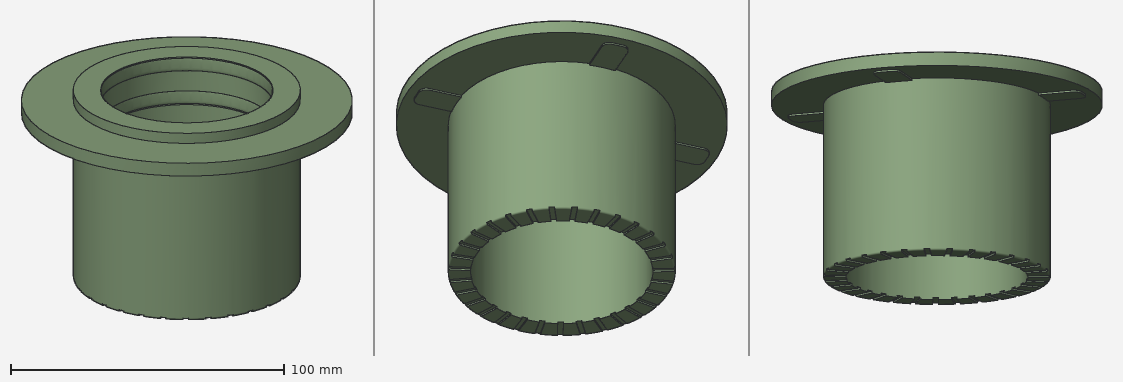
import cadquery as cq
total_height = 74.0
head_height = 4.0
flange_thickness = 5.1
flange_top = total_height - head_height
flange_bottom = flange_top - flange_thickness

flange_diameter = 121.0
tube_diameter = 83.0
tube_bore = 66.6

rib_count = 4
rib_width = 10.2
rib_thickness = 0.7
rib_reach = 56.8
rib_corner_radius = 3.0

notch_count = 31
notch_width = 2.0
notch_depth = 0.7
first_notch_angle = -90.0

rim_radius = 0.7

insert_length = 18.9
insert_bottom = total_height - insert_length
insert_bore = 63.0
spigot_diameter = 68.5
seat_diameter = 69.0

groove_diameter = 66.6
groove_width = 5.0
groove_margin = 0.5
seal_inner_diameter = 62.2
groove_centers = [
    total_height - groove_margin - groove_width / 2,
    insert_bottom + groove_margin + groove_width / 2,
]


def disc(diameter, bottom, top):
    """Solid cylinder on the Z axis between two heights."""
    return cq.Workplane("XY").workplane(offset=bottom).circle(diameter / 2).extrude(top - bottom)


def make_rib(angle):
    """Flat bar from the axis outward, with its two outer corners rounded."""
    return (
        cq.Workplane("XY")
        .workplane(offset=flange_bottom - rib_thickness)
        .rect(2 * rib_reach, rib_width)
        .extrude(rib_thickness)
        .edges("|Z")
        .fillet(rib_corner_radius)
        .intersect(cq.Workplane("XY").box(rib_reach, rib_width, total_height, centered=(False, True, False)))
        .rotate((0, 0, 0), (0, 0, 1), angle)
    )


def make_notch(angle):
    """Cutter for one notch through the tube wall."""
    return (
        cq.Workplane("XY")
        .box(tube_diameter, notch_width, notch_depth, centered=(False, True, False))
        .rotate((0, 0, 0), (0, 0, 1), angle)
    )


def make_housing():
    """Tube with flange, ribs, insert seat and a rounded, notched bottom rim."""
    body = disc(tube_diameter, 0, flange_top)
    body = body.union(disc(flange_diameter, flange_bottom, flange_top))
    for i in range(rib_count):
        body = body.union(make_rib(i * 360 / rib_count))
    body = body.faces("<Z").fillet(rim_radius)
    body = body.cut(disc(tube_bore, 0, flange_top))
    body = body.cut(disc(seat_diameter, insert_bottom, flange_top))
    for i in range(notch_count):
        body = body.cut(make_notch(first_notch_angle + i * 360 / notch_count))
    return body


def make_insert():
    """Head and spigot, bored through and grooved for the seal rings."""
    body = disc(spigot_diameter, insert_bottom, flange_top)
    body = body.union(disc(tube_diameter, flange_top, total_height))
    body = body.cut(disc(insert_bore, insert_bottom, total_height))
    for center in groove_centers:
        body = body.cut(disc(groove_diameter, center - groove_width / 2, center + groove_width / 2))
    return body


def make_seal(center):
    """Ring that fills its groove and bulges into the bore with an elliptical inner face."""
    half_width = groove_width / 2
    bulge = (insert_bore - seal_inner_diameter) / 2
    return (
        cq.Workplane("XZ")
        .moveTo(insert_bore / 2, center - half_width)
        .lineTo(groove_diameter / 2, center - half_width)
        .lineTo(groove_diameter / 2, center + half_width)
        .lineTo(insert_bore / 2, center + half_width)
        .ellipseArc(bulge, half_width, 90, 270, sense=1)
        .close()
        .revolve(360, (0, 0, 0), (0, 1, 0))
    )


housing = make_housing()
insert = make_insert()
seals = [make_seal(center) for center in groove_centers]

result = cq.Compound.makeCompound([housing.val(), insert.val(), *[seal.val() for seal in seals]])